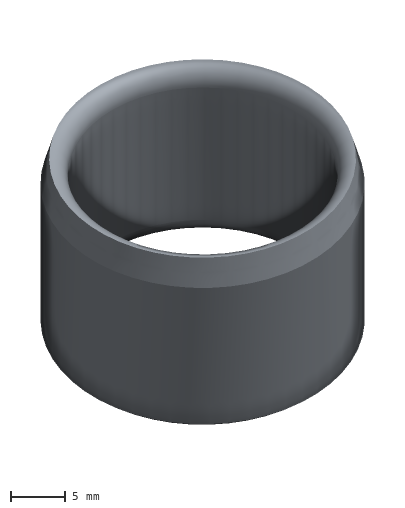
import cadquery as cq
import math

outer_radius = 15.0
bore_radius = 25.0 / 2
height = 20.0
taper_height = 3.0
taper_angle = 15.0
bottom_chamfer = 0.5

foot_radius = outer_radius - bottom_chamfer
round_radius = foot_radius - bore_radius
round_center_radius = bore_radius + round_radius

rim_radius = outer_radius - taper_height * math.tan(math.radians(taper_angle))
top_sweep = math.acos((round_center_radius - rim_radius) / round_radius)
top_round_start = height - round_radius * math.sin(top_sweep)


def point_on_round(center_height, angle):
    """Point on a mouth round; angle (radians) is zero at the bore, positive upward."""
    return (
        round_center_radius - round_radius * math.cos(angle),
        center_height + round_radius * math.sin(angle),
    )


section = (
    cq.Workplane("XZ")
    .moveTo(foot_radius, 0)
    .lineTo(outer_radius, bottom_chamfer)
    .lineTo(outer_radius, height - taper_height)
    .lineTo(rim_radius, height)
    .threePointArc(
        point_on_round(top_round_start, top_sweep / 2),
        (bore_radius, top_round_start),
    )
    .lineTo(bore_radius, round_radius)
    .threePointArc(point_on_round(round_radius, -math.pi / 4), (foot_radius, 0))
    .close()
)

result = section.revolve(360, (0, 0, 0), (0, 1, 0))